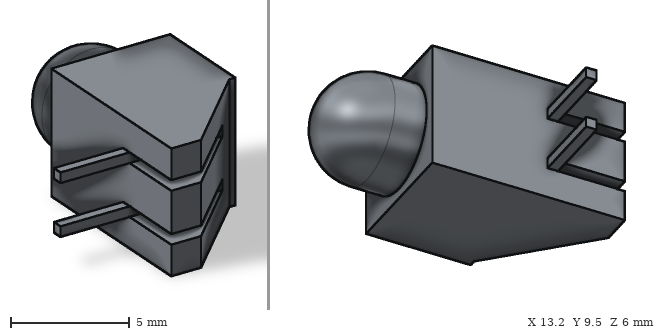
import cadquery as cq
import math


overall_length = 13.2
led_reach = 4.0
housing_length = overall_length - led_reach
housing_side = 6.0
flat_back_length = 5.0
slope_step = 0.3
slope_run = housing_length - flat_back_length
slope_drop = slope_run

led_radius = 2.5
led_barrel_length = led_reach - led_radius

lead_width = 0.5
lead_length = 3.5
lead_front = 5.5
lead_back = lead_front + lead_width
lead_pitch = 2.53
lead_levels = (-lead_pitch / 2, lead_pitch / 2)

half_side = housing_side / 2


def make_housing():
    slope_top = half_side - slope_step
    return (
        cq.Workplane("XY", origin=(0, 0, -half_side))
        .moveTo(0, -half_side)
        .lineTo(housing_length, -half_side)
        .lineTo(housing_length, slope_top - slope_drop)
        .lineTo(flat_back_length, slope_top)
        .lineTo(flat_back_length, half_side)
        .lineTo(0, half_side)
        .close()
        .extrude(housing_side)
    )


def make_slot(level):
    """Slot through the housing along Y, from behind a lead to the +X end."""
    return (
        cq.Workplane("XY", origin=(lead_back, 0, level))
        .box(housing_length - lead_back, housing_side, lead_width, centered=(False, True, True))
    )


def make_lead(level):
    """Square lead standing out of the -Y side."""
    return (
        cq.Workplane("XY", origin=(lead_front, -half_side - lead_length, level))
        .box(lead_width, lead_length, lead_width, centered=(False, False, True))
    )


def make_led():
    """Half profile of the barrel and dome, revolved about the X axis."""
    dome_middle = led_radius * math.sqrt(0.5)
    return (
        cq.Workplane("XY")
        .lineTo(0, led_radius)
        .lineTo(-led_barrel_length, led_radius)
        .threePointArc((-led_barrel_length - dome_middle, dome_middle), (-led_reach, 0))
        .close()
        .revolve(360, (0, 0, 0), (1, 0, 0))
    )


result = make_housing().union(make_led())
for lead_level in lead_levels:
    result = result.cut(make_slot(lead_level))
    result = result.union(make_lead(lead_level))